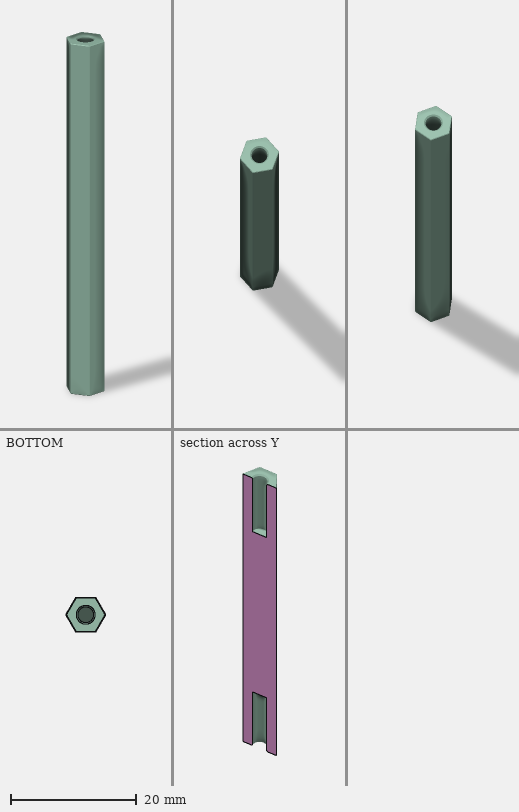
import cadquery as cq
import math

length = 60.0
across_flats = 5.5
corner_radius = 0.15
end_chamfer = 0.1
bore_diameter = 2.5
bore_depth = 12.0
mouth_diameter = 3.0
mouth_chamfer = (mouth_diameter - bore_diameter) / 2


def hex_bar():
    """Bar with flats facing +Y and -Y, rounded corners and chamfered ends."""
    across_corners = across_flats / math.cos(math.pi / 6)
    bar = cq.Workplane("XY").polygon(6, across_corners).extrude(length)
    bar = bar.edges("|Z").fillet(corner_radius)
    return bar.faces("<Z or >Z").chamfer(end_chamfer)


def drill_end(body, face):
    """Blind flat-bottomed bore with a countersunk mouth in the chosen end face."""
    end_plane = body.faces(face).workplane(centerOption="CenterOfBoundBox")
    drilled = end_plane.hole(bore_diameter, bore_depth)
    mouth_edge = drilled.faces(face).edges(cq.selectors.RadiusNthSelector(-1))
    return mouth_edge.chamfer(mouth_chamfer)


result = hex_bar()
for end_face in (">Z", "<Z"):
    result = drill_end(result, end_face)